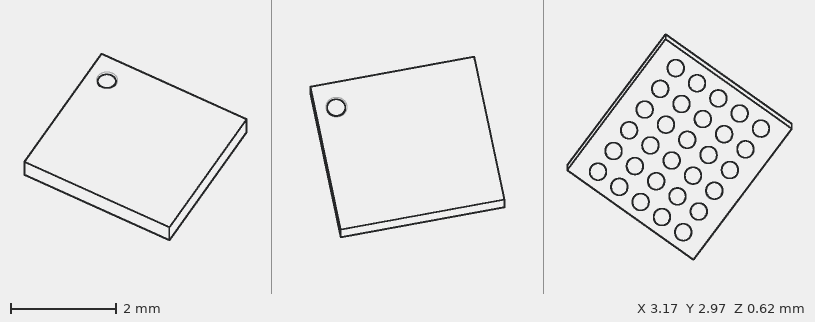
import cadquery as cq

body_length = 3.17
body_width = 2.97
overall_height = 0.62

ball_diameter = 0.32
ball_drop = 0.212
ball_pitch = 0.5
balls_along_x = 6
balls_along_y = 5

mark_x = -1.185
mark_y = 0.985
mark_floor_diameter = 0.35
mark_rim_radius = 0.025
mark_depth = 0.05

body_height = overall_height - ball_drop
ball_radius = ball_diameter / 2
ball_center_z = ball_radius - ball_drop


def make_body():
    """Plain block resting on Z = 0."""
    return cq.Workplane("XY").box(body_length, body_width, body_height, centered=(True, True, False))


def make_balls():
    """Balls cut flat where they meet the underside of the body."""
    grid = cq.Workplane("XY").rarray(ball_pitch, ball_pitch, balls_along_x, balls_along_y)
    spheres = grid.eachpoint(
        lambda place: cq.Workplane("XY", origin=(0, 0, ball_center_z)).sphere(ball_radius).val().moved(place)
    )
    return spheres.cut(make_body())


def make_pin_one_mark():
    """Solid to cut away: a cylinder that flares out along a convex quarter round at the top."""
    floor_radius = mark_floor_diameter / 2
    profile = (
        cq.Workplane("XZ")
        .lineTo(floor_radius, 0)
        .lineTo(floor_radius, mark_depth - mark_rim_radius)
        .radiusArc((floor_radius + mark_rim_radius, mark_depth), mark_rim_radius)
        .lineTo(0, mark_depth)
        .close()
    )
    return profile.revolve().translate((mark_x, mark_y, body_height - mark_depth))


result = make_body().union(make_balls()).cut(make_pin_one_mark())